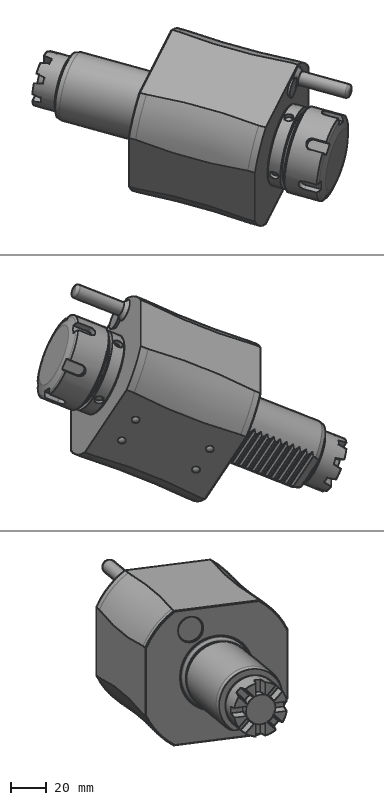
import cadquery as cq

TOTAL_LENGTH = 176.6

CUT_OVERRUN = 1.8

HEAD_RADIUS = 16.0
HEAD_END = 14.0
HEAD_CHAMFER = 0.5
NECK_RADIUS = 12.7
CORE_RADIUS = 8.8
DRIVE_SLOTS = 8
DRIVE_SLOT_DEPTH = 5.1
DRIVE_SLOT_MOUTH = 5.7
DRIVE_SLOT_FLOOR = 3.7

SHANK_DIAMETER = 40.0
SHANK_RADIUS = SHANK_DIAMETER / 2
SHANK_START = 15.0
SHANK_CHAMFER_LENGTH = 2.8
SHANK_CHAMFER_DROP = 0.9
FLAT_DROP = 15.9
FLAT_END = 59.0
FLAT_RAMP_LENGTH = 4.2
TOOTH_COUNT = 10
TOOTH_PITCH = 4.0
TOOTH_DEPTH = 1.5
FIRST_TOOTH = 20.5
TOOTH_HALF_WIDTH = 1.5
UNDERCUT_START = 64.0
UNDERCUT_RADIUS = 19.6

COLLAR_RADIUS = 21.4
COLLAR_START = 65.5
COLLAR_ROUND = 1.6
COLLAR_GAP = 0.7

BODY_START = 67.8
BODY_END = 143.8
BODY_WIDTH = 86.0
BODY_HEIGHT = 80.0
BODY_CORNER_RADIUS = 47.5
WAIST_RADIUS = 46.5
WAIST_START = 72.0
WAIST_END = 139.3
BODY_CHAMFER = 0.5

PLUG_RADIUS = 7.6
PLUG_FLOOR_RADIUS = 7.2
PLUG_Y = 15.7
PLUG_Z = 27.7
PLUG_DEPTH = 1.0

RING_RADIUS = 23.8
RING_CHAMFER = 0.7
RING_END = 151.7
GROOVE_RADIUS = 20.7
NUT_DIAMETER = 50.2
NUT_RADIUS = NUT_DIAMETER / 2
NUT_START = 153.8
NUT_STEP = 1.0
NUT_EDGE_START = 174.0
NUT_EDGE_LENGTH = 0.9
NUT_EDGE_DROP = 1.5
NUT_FACE_RADIUS = 18.0
SPANNER_HOLES = 4
SPANNER_HOLE_X = 148.0
SPANNER_HOLE_RADIUS = 2.6
SPANNER_HOLE_DEPTH = 2.6
NUT_SLOTS = 6
NUT_SLOT_WIDTH = 6.5
NUT_SLOT_START = 163.2
NUT_SLOT_DEPTH = 3.5

PIN_RADIUS = 4.0
PIN_Y = 23.3
PIN_Z = 32.1
PIN_END = 176.0
PIN_ROUND = 2.0
PIN_BASE_RADIUS = 6.4
PIN_BASE_LENGTH = 2.5

NOZZLE_Y = 14.0
NOZZLE_Z = 33.4
NOZZLE_LENGTH = 1.8
NOZZLE_BASE_RADIUS = 5.0
NOZZLE_RIM_RADIUS = 6.0

STUD_X = (82.5, 129.3)
STUD_Y = 8.5
STUD_HEIGHT = 1.6
STUD_RADIUS = 2.3


def revolve_about_x(profile):
    """Turn a list of (x, radius) points into a solid about the X axis."""
    axis_points = [(profile[0][0], 0), *profile, (profile[-1][0], 0)]
    return cq.Workplane("XY").polyline(axis_points).close().revolve(360, (0, 0), (1, 0))


def disc(start, end, radius):
    return cq.Workplane("YZ", origin=(start, 0, 0)).circle(radius).extrude(end - start)


def around_x(tool, count):
    """Copies of a tool spaced evenly about the X axis."""
    copies = tool
    for index in range(1, count):
        copies = copies.union(tool.rotate((0, 0, 0), (1, 0, 0), 360 * index / count))
    return copies


def coupling_head():
    half_mouth = DRIVE_SLOT_MOUTH / 2
    half_floor = DRIVE_SLOT_FLOOR / 2
    slot = (
        cq.Workplane("XY")
        .polyline([
            (0, -half_mouth),
            (DRIVE_SLOT_DEPTH, -half_floor),
            (DRIVE_SLOT_DEPTH, half_floor),
            (0, half_mouth),
        ])
        .close()
        .extrude(HEAD_RADIUS + CUT_OVERRUN)
        .cut(disc(0, DRIVE_SLOT_DEPTH, CORE_RADIUS))
    )
    head = disc(0, HEAD_END, HEAD_RADIUS).faces(">X").chamfer(HEAD_CHAMFER)
    head = head.cut(around_x(slot, DRIVE_SLOTS))
    return head.union(disc(HEAD_END, SHANK_START, NECK_RADIUS))


def shank():
    body = revolve_about_x([
        (SHANK_START, SHANK_RADIUS - SHANK_CHAMFER_DROP),
        (SHANK_START + SHANK_CHAMFER_LENGTH, SHANK_RADIUS),
        (UNDERCUT_START, SHANK_RADIUS),
        (UNDERCUT_START, UNDERCUT_RADIUS),
        (COLLAR_START, UNDERCUT_RADIUS),
    ])
    below = -SHANK_RADIUS - CUT_OVERRUN
    root = -FLAT_DROP + TOOTH_DEPTH
    outline = [(SHANK_START, below), (SHANK_START, -FLAT_DROP)]
    for index in range(TOOTH_COUNT):
        x = FIRST_TOOTH + index * TOOTH_PITCH
        outline.append((x - TOOTH_HALF_WIDTH, -FLAT_DROP))
        outline.append((x, root))
        outline.append((x + TOOTH_HALF_WIDTH, -FLAT_DROP))
    outline.append((FLAT_END, -FLAT_DROP))
    outline.append((FLAT_END + FLAT_RAMP_LENGTH, -SHANK_RADIUS))
    outline.append((FLAT_END + FLAT_RAMP_LENGTH, below))
    cutter = cq.Workplane("XZ").polyline(outline).close().extrude(SHANK_RADIUS, both=True)
    return body.cut(cutter)


def collar():
    return disc(COLLAR_START, BODY_START + COLLAR_GAP, COLLAR_RADIUS).faces("<X").edges().fillet(COLLAR_ROUND)


def housing():
    length = BODY_END - BODY_START
    block = (
        cq.Workplane("YZ", origin=(BODY_START, 0, 0))
        .rect(BODY_WIDTH, BODY_HEIGHT)
        .extrude(length)
    )
    waisted_round = (
        cq.Workplane("XY")
        .moveTo(BODY_START, 0)
        .lineTo(BODY_START, BODY_CORNER_RADIUS - BODY_CHAMFER)
        .lineTo(BODY_START + BODY_CHAMFER, BODY_CORNER_RADIUS)
        .lineTo(WAIST_START, BODY_CORNER_RADIUS)
        .threePointArc(((WAIST_START + WAIST_END) / 2, WAIST_RADIUS), (WAIST_END, BODY_CORNER_RADIUS))
        .lineTo(BODY_END, BODY_CORNER_RADIUS)
        .lineTo(BODY_END, 0)
        .close()
        .revolve(360, (0, 0), (1, 0))
    )
    plug_recess = revolve_about_x([
        (BODY_START, PLUG_RADIUS),
        (BODY_START + PLUG_DEPTH, PLUG_FLOOR_RADIUS),
    ]).translate((0, PLUG_Y, PLUG_Z))
    collar_seat = disc(BODY_START, BODY_START + COLLAR_GAP, COLLAR_RADIUS + COLLAR_GAP)
    body = block.faces("<X").chamfer(BODY_CHAMFER).intersect(waisted_round)
    return body.cut(plug_recess).cut(collar_seat)


def studs():
    """Dome-ended studs: spheres that stick out of the bottom face by the stud height."""
    sphere_radius = (STUD_RADIUS**2 + STUD_HEIGHT**2) / (2 * STUD_HEIGHT)
    center_z = -BODY_HEIGHT / 2 - STUD_HEIGHT + sphere_radius
    places = [(x, y, center_z) for x in STUD_X for y in (-STUD_Y, STUD_Y)]
    return cq.Workplane("XY").pushPoints(places).sphere(sphere_radius)


def spindle_ring():
    ring = revolve_about_x([
        (BODY_END, RING_RADIUS - RING_CHAMFER),
        (BODY_END + RING_CHAMFER, RING_RADIUS),
        (RING_END, RING_RADIUS),
        (RING_END, GROOVE_RADIUS),
        (NUT_START, GROOVE_RADIUS),
    ])
    hole = (
        cq.Workplane("XY", origin=(SPANNER_HOLE_X, 0, RING_RADIUS - SPANNER_HOLE_DEPTH))
        .circle(SPANNER_HOLE_RADIUS)
        .extrude(SPANNER_HOLE_DEPTH + CUT_OVERRUN)
    )
    return ring.cut(around_x(hole, SPANNER_HOLES))


def clamping_nut():
    nut = revolve_about_x([
        (NUT_START, RING_RADIUS),
        (NUT_START + NUT_STEP, RING_RADIUS),
        (NUT_START + NUT_STEP, NUT_RADIUS),
        (NUT_EDGE_START, NUT_RADIUS),
        (NUT_EDGE_START + NUT_EDGE_LENGTH, NUT_RADIUS - NUT_EDGE_DROP),
        (TOTAL_LENGTH, NUT_FACE_RADIUS),
    ])
    half_width = NUT_SLOT_WIDTH / 2
    slot = (
        cq.Workplane("XZ", origin=(0, -NUT_RADIUS + NUT_SLOT_DEPTH, 0))
        .moveTo(TOTAL_LENGTH, -half_width)
        .lineTo(NUT_SLOT_START + half_width, -half_width)
        .threePointArc((NUT_SLOT_START, 0), (NUT_SLOT_START + half_width, half_width))
        .lineTo(TOTAL_LENGTH, half_width)
        .close()
        .extrude(NUT_SLOT_DEPTH + CUT_OVERRUN)
    )
    return nut.cut(around_x(slot, NUT_SLOTS))


def locating_pin():
    pin = revolve_about_x([
        (BODY_END, PIN_BASE_RADIUS),
        (BODY_END + PIN_BASE_LENGTH, PIN_RADIUS),
        (PIN_END, PIN_RADIUS),
    ])
    return pin.faces(">X").edges().fillet(PIN_ROUND).translate((0, PIN_Y, PIN_Z))


def coolant_nozzle():
    nozzle = revolve_about_x([
        (BODY_END, NOZZLE_BASE_RADIUS),
        (BODY_END + NOZZLE_LENGTH, NOZZLE_RIM_RADIUS),
    ])
    return nozzle.translate((0, NOZZLE_Y, NOZZLE_Z))


result = (
    housing()
    .union(collar())
    .union(shank())
    .union(coupling_head())
    .union(spindle_ring())
    .union(clamping_nut())
    .union(locating_pin())
    .union(coolant_nozzle())
    .union(studs())
)